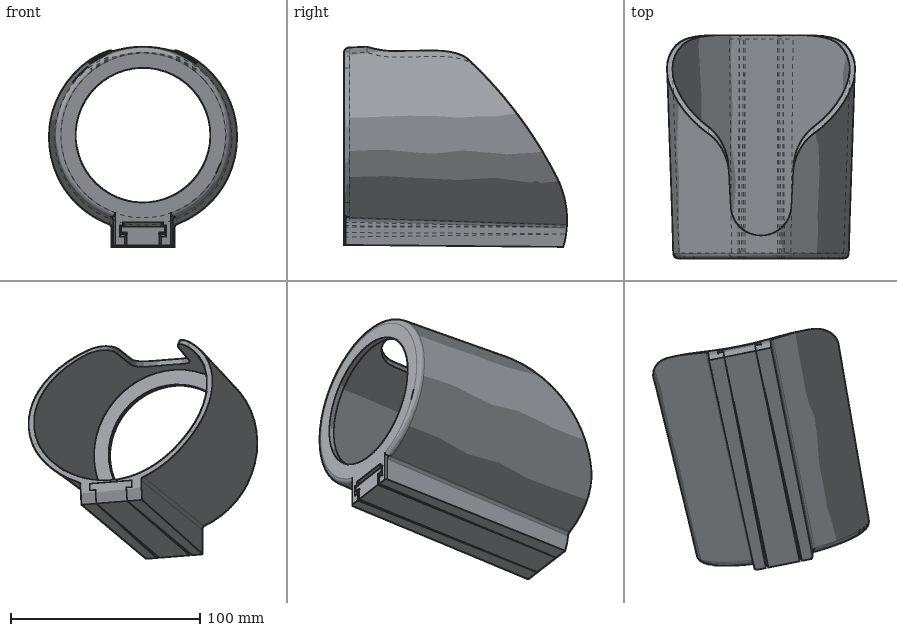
import cadquery as cq
import math

length = 118.0
blank_length = length + 2.4
front_radius = 46.4
taper_angle = 1.95
wall = 3.0
rim_fillet = 3.0
opening_diameter = 71.0

base_half_width = 15.7
base_bottom = -58.0
base_growth = 1.1
base_top = -40.1
base_chamfer = 1.0
junction_fillet = 2.0

mouth_heel = (116.0, -59.0)
mouth_tip = (length, -44.2)
mouth_join = (112.8, -22.8)
mouth_middle = (89.1, 14.5)
mouth_top = (49.1, 54.3)

slot_start = 12.2
slot_radius = 16.0
slot_flare = 3.0
slot_corner_fillet = 10.0
slot_floor = 17.7

groove_head_half = 12.3
groove_neck_half = 9.7
groove_head_top = -47.7
groove_head_bottom = -53.7
relief_half = 10.6
relief_rear_half = 9.2
relief_top = -45.9
slider_head_half = 11.6
slider_neck_half = 8.5
slider_head_top = -48.5
slider_ledge_front = -51.3
slider_ledge_rear = -52.0

margin = 11.8


def cone_radius(y):
    return front_radius + y * math.tan(math.radians(taper_angle))


def cone(start, end, inset):
    """Solid cone about Y, its surface set in by `inset` from the tube's outside."""
    profile = [
        (0, start),
        (cone_radius(start) - inset, start),
        (cone_radius(end) - inset, end),
        (0, end),
    ]
    return cq.Workplane("XY").polyline(profile).close().revolve(360, (0, 0, 0), (0, 1, 0))


def rectangle_at(half_width, bottom, top, y):
    points = [(-half_width, y, bottom), (half_width, y, bottom), (half_width, y, top), (-half_width, y, top)]
    return cq.Wire.makePolygon([cq.Vector(*point) for point in points], close=True)


def drafted_bar(front, rear):
    """Bar over the blank length between two rectangles, each given as (half width, bottom, top)."""
    ends = [rectangle_at(*front, 0), rectangle_at(*rear, blank_length)]
    return cq.Workplane(obj=cq.Solid.makeLoft(ends, True))


def base_block():
    growth = base_growth * blank_length / length
    return drafted_bar(
        (base_half_width, base_bottom, base_top),
        (base_half_width + growth, base_bottom - growth, base_top),
    )


def mouth_cutter():
    reach = cone_radius(blank_length) + margin
    return (
        cq.Workplane("YZ")
        .moveTo(*mouth_heel)
        .threePointArc(mouth_tip, mouth_join)
        .threePointArc(mouth_middle, mouth_top)
        .lineTo(length + margin, mouth_top[1])
        .lineTo(length + margin, -reach)
        .lineTo(mouth_heel[0], -reach)
        .close()
        .extrude(reach, both=True)
    )


def finger_slot():
    flare = math.radians(slot_flare)
    center = slot_start + slot_radius
    tangent_x = slot_radius * math.cos(flare)
    tangent_y = center - slot_radius * math.sin(flare)
    end_x = tangent_x + (length - tangent_y) * math.tan(flare)
    return (
        cq.Workplane("XY", origin=(0, 0, slot_floor))
        .moveTo(-end_x, length)
        .lineTo(-tangent_x, tangent_y)
        .threePointArc((0, slot_start), (tangent_x, tangent_y))
        .lineTo(end_x, length)
        .close()
        .extrude(mouth_top[1] - slot_floor)
    )


def mouth_and_slot():
    """Mouth and finger slot as one cutter, its inner corners rounded where the slot meets the mouth."""
    corner_middle = (mouth_top[1] + slot_floor) / 2
    corners = cq.selectors.BoxSelector(
        (-2 * slot_radius, mouth_top[0], corner_middle - margin),
        (2 * slot_radius, mouth_middle[0], corner_middle + margin),
    )
    cutter = mouth_cutter().union(finger_slot())
    return cutter.edges(corners).edges("not |X").fillet(slot_corner_fillet)


def groove():
    below = base_bottom - margin
    head = drafted_bar(
        (groove_head_half, groove_head_bottom, groove_head_top),
        (slider_head_half, slider_ledge_rear, slider_head_top),
    )
    neck = drafted_bar(
        (groove_neck_half, below, slider_ledge_front),
        (slider_neck_half, below, slider_ledge_front),
    )
    relief = drafted_bar(
        (relief_half, slider_ledge_front, relief_top),
        (relief_rear_half, slider_ledge_front, slider_head_top),
    )
    return head.union(neck).union(relief)


def make_housing():
    tube = cone(0, blank_length, 0).faces("<Y").edges().fillet(rim_fillet)
    base = base_block().faces("<Y").edges("|Z").chamfer(base_chamfer)
    body = tube.union(base)
    sides = cq.selectors.BoxSelector(
        (-base_half_width - margin, rim_fillet, base_bottom),
        (base_half_width + margin, blank_length - rim_fillet, -front_radius * math.cos(math.radians(30))),
    )
    body = body.edges(sides).fillet(junction_fillet)
    opening = cq.Workplane("XZ").circle(opening_diameter / 2).extrude(-length)
    body = body.cut(cone(wall, blank_length + margin, wall)).cut(opening)
    return body.cut(mouth_and_slot()).cut(groove())


def make_slider():
    head = drafted_bar(
        (slider_head_half, slider_ledge_front, slider_head_top),
        (slider_head_half, slider_ledge_rear, slider_head_top),
    )
    neck_section = (slider_neck_half, base_bottom - margin, slider_head_top)
    tee = head.union(drafted_bar(neck_section, neck_section))
    return tee.intersect(base_block()).cut(mouth_cutter())


housing = make_housing()
slider = make_slider()

result = cq.Compound.makeCompound([housing.val(), slider.val()])